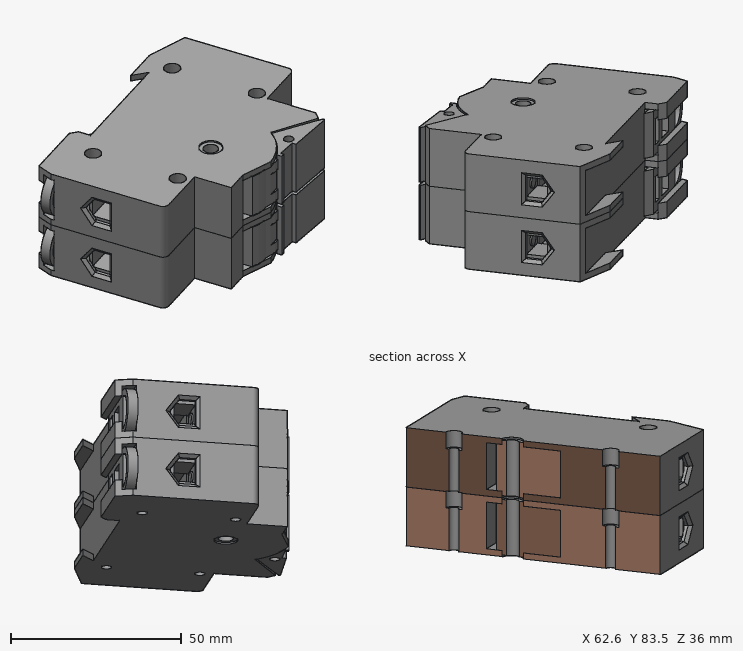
import cadquery as cq
import math

MODULES = 2
TOTAL_HEIGHT = 36.0
PITCH = TOTAL_HEIGHT / MODULES
MID_Z = PITCH / 2
WALL = 2.0
CORE_WIDTH = 14.0

BOTTOM_Y = 2.5
TOP_Y = 83.5
RAIL_X = 6.0
RAIL_LOW_Y = 25.7
RAIL_HIGH_Y = 62.6
HOOK_DEPTH = RAIL_X - WALL
HOOK_KNEE_Y = 70.5
HOOK_TOP_X = 6.9
SHOULDER_X = 43.0
SHOULDER_RADIUS = 2.0
NOSE_LOW_Y = 20.7
NOSE_HIGH_Y = 66.6
NOSE_X = 55.1
NOSE_TOP_X = 59.0
NOSE_TIP = (60.95, 64.5)
SLOPE_LOW_Y = 28.1
SLOPE_HIGH = (59.1, 38.1)
FOOT_CHAMFER = (5.0, 2.0)

PIVOT = (40.1, 36.5)
PIVOT_DIAMETER = 4.5
TRUNNION_DIAMETER = 7.0
TRUNNION_INSET = 0.5
HOUSING_ARC_RADIUS = 19.2
CARRIER_CLEARANCE = 0.3
CARRIER_CORNER = (52.1, 51.6)
DRUM_RADIUS = 17.9
HEAD_WIDTH = 17.0
HEAD_HOLE = (57.95, 51.5)
HEAD_HOLE_DIAMETER = 3.0
HEAD_TIP = (62.1, 65.55)
HEAD_FRONT_X = 62.6
HEAD_FRONT_LOW_Y = 64.8
HEAD_FRONT_HIGH_Y = 65.3
STEP_Y = 50.1
STEP_INNER_X = 59.9
STEP_OUTER_X = 61.1
TOE_X = 60.4
TOE_LOW_Y = 42.6
TOE_HIGH_Y = 43.8
TOE_ROOT_X = 59.4
SLOT_BACK_X = 32.1
DRUM_FLAT_START = (56.6, 31.2)
DRUM_FLAT_END = (57.6, 33.4)
DRUM_ARC_END_Y = 37.2
WEB_X = 59.0
WEB_LOW_Y = 40.9
WEB_NOTCH_WIDTH = 7.0
WEB_NOTCH_DEPTH = 0.5

BOLT_XS = (11.0, 39.0)
BOLT_YS = (17.7, 67.6)
BOLT_DIAMETER = 3.0
BOLT_SINK_DIAMETER = 5.0
BOLT_SINK_DEPTH = 5.0

CLIP_THICKNESS = 3.0
CLIP_TRACK_WIDTH = 8.0
CLIP_RING_RADIUS = CORE_WIDTH / 2
CLIP_EYE_RADIUS = 5.0
CLIP_BACK_X = RAIL_X - CLIP_THICKNESS
CLIP_SHELF_Y = 26.2
CLIP_TIP = (5.0, 29.65)
CLIP_KNEE_Y = 27.1
CLIP_WINDOWS = ((22.0, 3.0), (13.0, 6.0))

WIRE_TIP_X = 14.9
WIRE_SHOULDER_X = 18.6
WIRE_RIGHT_X = 25.05
WIRE_HEIGHT = 10.0
FUNNEL = 1.0
CAGE_LEFT_X = 16.7
CAGE_HEIGHT = 8.0
CAGE_WALL = 1.0
CAGE_LENGTH = 10.0
CAGE_INSET = 2.0
TERMINAL_YS = (
    BOTTOM_Y + CAGE_INSET + CAGE_LENGTH / 2,
    TOP_Y - CAGE_INSET - CAGE_LENGTH / 2,
)
SCREW_DIAMETER = 4.0
SCREW_LENGTH = 6.0
SCREW_TIP_X = 23.55


def slab(x, y, z):
    """Box between the given (low, high) pairs."""
    return (
        cq.Workplane("XY")
        .box(x[1] - x[0], y[1] - y[0], z[1] - z[0], centered=False)
        .translate((x[0], y[0], z[0]))
    )


def centred(width):
    """Z range of the given width about the middle of a module."""
    return (MID_Z - width / 2, MID_Z + width / 2)


def raised(outline, width):
    """Closed XY outline extruded to the given width about the middle of a module."""
    return outline.extrude(width).translate((0, 0, MID_Z - width / 2))


def post(point, diameter, low=0.0, high=PITCH):
    """Round post along Z at an XY point, the full module height unless stated."""
    return cq.Workplane("XY", origin=(*point, low)).circle(diameter / 2).extrude(high - low)


def on_pivot_arc(radius, y):
    """Point on the +X side of a circle about the pivot, at the given y."""
    return (PIVOT[0] + math.sqrt(radius**2 - (y - PIVOT[1]) ** 2), y)


def housing_blank():
    arc_middle = on_pivot_arc(HOUSING_ARC_RADIUS, (CARRIER_CORNER[1] + SLOPE_HIGH[1]) / 2)
    outline = (
        cq.Workplane("XY")
        .moveTo(FOOT_CHAMFER[0], BOTTOM_Y)
        .lineTo(SHOULDER_X, BOTTOM_Y)
        .lineTo(SHOULDER_X, NOSE_LOW_Y)
        .lineTo(NOSE_X, NOSE_LOW_Y)
        .lineTo(NOSE_X, SLOPE_LOW_Y)
        .lineTo(*SLOPE_HIGH)
        .threePointArc(arc_middle, CARRIER_CORNER)
        .lineTo(*NOSE_TIP)
        .lineTo(NOSE_TOP_X, NOSE_HIGH_Y)
        .lineTo(SHOULDER_X, NOSE_HIGH_Y)
        .lineTo(SHOULDER_X, TOP_Y)
        .lineTo(HOOK_TOP_X, TOP_Y)
        .lineTo(WALL, HOOK_KNEE_Y)
        .lineTo(WALL, RAIL_HIGH_Y - HOOK_DEPTH)
        .lineTo(RAIL_X, RAIL_HIGH_Y)
        .lineTo(RAIL_X, RAIL_LOW_Y)
        .lineTo(WALL, RAIL_LOW_Y)
        .lineTo(0, RAIL_LOW_Y - WALL)
        .lineTo(0, BOTTOM_Y + FOOT_CHAMFER[1])
        .close()
    )
    blank = outline.extrude(PITCH)
    for y in (BOTTOM_Y, TOP_Y):
        corner = cq.selectors.NearestToPointSelector((SHOULDER_X, y, MID_Z))
        blank = blank.edges(corner).fillet(SHOULDER_RADIUS)
    return blank


def carrier_slot():
    return slab((SLOT_BACK_X, NOSE_TIP[0]), (SLOPE_LOW_Y, CARRIER_CORNER[1]), centred(CORE_WIDTH))


def clip_track():
    channel = slab((WALL, RAIL_X), (0, RAIL_LOW_Y), centred(CORE_WIDTH))
    mouth = slab((0, WALL), (0, RAIL_LOW_Y), centred(CLIP_TRACK_WIDTH))
    return channel.union(mouth)


def hook_hollow():
    return slab((0, RAIL_X), (RAIL_HIGH_Y - HOOK_DEPTH, TOP_Y), centred(CORE_WIDTH))


def wire_outline(y):
    half = WIRE_HEIGHT / 2
    return cq.Workplane("XZ", origin=(0, y, MID_Z)).polyline(
        [
            (WIRE_TIP_X, 0),
            (WIRE_SHOULDER_X, -half),
            (WIRE_RIGHT_X, -half),
            (WIRE_RIGHT_X, half),
            (WIRE_SHOULDER_X, half),
        ]
    ).close()


def wire_passage():
    """Five-sided through passage along Y, flared to a funnel at both ends."""
    passage = wire_outline(TOP_Y).offset2D(-FUNNEL).extrude(TOP_Y - BOTTOM_Y)
    high_funnel = wire_outline(TOP_Y).extrude(FUNNEL, taper=45)
    low_funnel = high_funnel.mirror("XZ", (0, (BOTTOM_Y + TOP_Y) / 2, 0))
    depth = CAGE_INSET + CAGE_LENGTH
    narrowing = slab((SCREW_TIP_X, WIRE_RIGHT_X), (BOTTOM_Y + depth, TOP_Y - depth), (0, PITCH))
    return passage.cut(narrowing).union(high_funnel).union(low_funnel)


def make_housing():
    body = housing_blank().cut(carrier_slot()).cut(clip_track()).cut(hook_hollow())
    for x in BOLT_XS:
        for y in BOLT_YS:
            body = body.cut(post((x, y), BOLT_DIAMETER))
            body = body.cut(post((x, y), BOLT_SINK_DIAMETER, PITCH - BOLT_SINK_DEPTH))
    body = body.cut(post(PIVOT, TRUNNION_DIAMETER))
    body = body.cut(wire_passage())
    for y in TERMINAL_YS:
        body = body.cut(terminal_envelope(y))
    return body


def carrier_head():
    radius = HOUSING_ARC_RADIUS + CARRIER_CLEARANCE
    arc_start = on_pivot_arc(radius, TOE_LOW_Y)
    arc_middle = on_pivot_arc(radius, (TOE_LOW_Y + CARRIER_CORNER[1]) / 2)
    outline = (
        cq.Workplane("XY")
        .moveTo(*arc_start)
        .lineTo(TOE_X, TOE_LOW_Y)
        .lineTo(TOE_X, TOE_HIGH_Y)
        .lineTo(TOE_ROOT_X, TOE_HIGH_Y)
        .lineTo(STEP_INNER_X, STEP_Y)
        .lineTo(STEP_OUTER_X, STEP_Y)
        .lineTo(HEAD_FRONT_X, HEAD_FRONT_LOW_Y)
        .lineTo(HEAD_FRONT_X, HEAD_FRONT_HIGH_Y)
        .lineTo(*HEAD_TIP)
        .lineTo(*CARRIER_CORNER)
        .threePointArc(arc_middle, arc_start)
        .close()
    )
    return raised(outline, HEAD_WIDTH)


def carrier_core():
    """Drum inside the slot and the web that carries the head."""
    outline = (
        cq.Workplane("XY")
        .moveTo(SLOT_BACK_X, DRUM_FLAT_START[1])
        .lineTo(*DRUM_FLAT_START)
        .lineTo(*DRUM_FLAT_END)
        .threePointArc(
            on_pivot_arc(DRUM_RADIUS, PIVOT[1]),
            on_pivot_arc(DRUM_RADIUS, DRUM_ARC_END_Y),
        )
        .lineTo(WEB_X, WEB_LOW_Y)
        .lineTo(WEB_X, TOE_LOW_Y)
        .lineTo(*HEAD_HOLE)
        .lineTo(SLOT_BACK_X, CARRIER_CORNER[1])
        .close()
    )
    notch = slab(
        (WEB_X - WEB_NOTCH_DEPTH, WEB_X),
        (DRUM_ARC_END_Y, TOE_LOW_Y + WEB_NOTCH_DEPTH),
        centred(WEB_NOTCH_WIDTH),
    )
    return raised(outline, CORE_WIDTH).cut(notch)


def make_carrier():
    trunnion = post(PIVOT, TRUNNION_DIAMETER, TRUNNION_INSET, PITCH - TRUNNION_INSET)
    carrier = carrier_head().union(carrier_core()).union(trunnion)
    return carrier.cut(post(HEAD_HOLE, HEAD_HOLE_DIAMETER)).cut(post(PIVOT, PIVOT_DIAMETER))


def make_clip():
    nose = (
        cq.Workplane("XY")
        .moveTo(CLIP_BACK_X, CLIP_RING_RADIUS)
        .lineTo(RAIL_X, CLIP_RING_RADIUS)
        .lineTo(RAIL_X, CLIP_SHELF_Y)
        .lineTo(CLIP_TIP[0], CLIP_SHELF_Y)
        .lineTo(*CLIP_TIP)
        .lineTo(CLIP_BACK_X, CLIP_KNEE_Y)
        .close()
    )
    centre = (CLIP_BACK_X, CLIP_RING_RADIUS, MID_Z)
    disc = cq.Workplane("YZ", origin=centre).circle(CLIP_RING_RADIUS).extrude(CLIP_THICKNESS)
    eye = cq.Workplane("YZ", origin=centre).circle(CLIP_EYE_RADIUS).extrude(CLIP_THICKNESS)
    eye = eye.cut(
        slab((0, RAIL_X), (CLIP_RING_RADIUS, CLIP_RING_RADIUS + CLIP_EYE_RADIUS), (0, PITCH))
    )
    clip = raised(nose, CORE_WIDTH).union(disc).cut(eye)
    for low_y, length in CLIP_WINDOWS:
        clip = clip.cut(slab((0, RAIL_X), (low_y, low_y + length), centred(CLIP_TRACK_WIDTH)))
    return clip


def clamping_screw(y):
    tip = (SCREW_TIP_X, y, MID_Z)
    return cq.Workplane("YZ", origin=tip).circle(SCREW_DIAMETER / 2).extrude(SCREW_LENGTH)


def cage_block(y):
    """Outer block of the cage, without its opening."""
    y_range = (y - CAGE_LENGTH / 2, y + CAGE_LENGTH / 2)
    return slab((CAGE_LEFT_X, WIRE_RIGHT_X), y_range, centred(CAGE_HEIGHT))


def terminal_envelope(y):
    """Space that the cage and its screw take up in the housing."""
    return cage_block(y).union(clamping_screw(y))


def make_terminal(y):
    """Wire cage with its clamping screw standing a little into the opening."""
    opening = slab(
        (CAGE_LEFT_X + CAGE_WALL, WIRE_RIGHT_X - CAGE_WALL),
        (y - CAGE_LENGTH / 2, y + CAGE_LENGTH / 2),
        centred(CAGE_HEIGHT - 2 * CAGE_WALL),
    )
    return cage_block(y).cut(opening).union(clamping_screw(y))


module_bodies = [make_housing(), make_carrier(), make_clip()]
module_bodies += [make_terminal(y) for y in TERMINAL_YS]

result = cq.Compound.makeCompound(
    [
        body.translate((0, 0, level * PITCH)).solids().val()
        for level in range(MODULES)
        for body in module_bodies
    ]
)